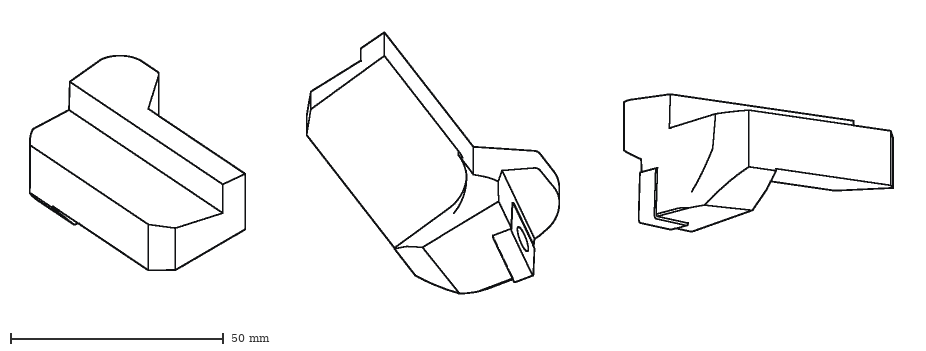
import cadquery as cq
import math


length = 61.0
width = 37.6
height = 30.5
shank_width = 25.9
end_chamfer = 4.5
head_left = 2.45
head_corner_radius = 6.85
head_back_end = 15.6
head_back_radius = 1.8
diagonal_end = 25.45
front_corner_start = 13.05
front_corner_middle = (6.95, 6.15)
front_corner_end = (2.7, 15.25)
blank_left = 0.0
blank_step = 26.85

ledge_width = 19.0
ledge_front_height = 25.0
ledge_angle = 8.0

shank_bottom = 11.95
bottom_angle = 6.0
bottom_corner_radius = 10.0
head_right = 21.4
wall_lean = 13.0
wall_lean_height = 7.3
bevel_top = 11.45
bevel_angle = 49.0

nose_point = cq.Vector(-0.135, 24.75, 0)
yaw = 12.0
tilt = 6.0
nose_angle = 80.0
inscribed_circle = 12.7
insert_thickness = 4.75
insert_corner_radius = 0.8
pin_diameter = 6.1

rake_recess = 0.1
insert_overhang = 0.7
seat_chamfer = 0.5
overhang_height = 15.8
overhang_angle = 25.0
side_yaw = 11.7
side_lean = 2.0

REACH = 122.0


def sin(angle):
    return math.sin(math.radians(angle))


def cos(angle):
    return math.cos(math.radians(angle))


def tan(angle):
    return math.tan(math.radians(angle))


along_edge = cq.Vector(cos(yaw), sin(yaw), 0)
into_head = cq.Vector(sin(yaw) * cos(tilt), -cos(yaw) * cos(tilt), sin(tilt))
insert_plane = cq.Plane(nose_point, along_edge, into_head)
insert_side = inscribed_circle / sin(nose_angle)


def make_blank():
    center_x = head_left + head_corner_radius
    center_y = width - head_corner_radius
    corner_middle = (center_x - head_corner_radius * cos(45), center_y + head_corner_radius * sin(45))
    blank = (
        cq.Workplane("XY")
        .moveTo(length, end_chamfer)
        .lineTo(length - end_chamfer, 0)
        .lineTo(front_corner_start, 0)
        .threePointArc(front_corner_middle, front_corner_end)
        .lineTo(blank_left, blank_step)
        .lineTo(head_left, blank_step)
        .lineTo(head_left, center_y)
        .threePointArc(corner_middle, (center_x, width))
        .lineTo(head_back_end, width)
        .lineTo(diagonal_end, shank_width)
        .lineTo(length, shank_width)
        .close()
        .extrude(height)
    )
    back_edge = cq.selectors.NearestToPointSelector((head_back_end, width, height / 2))
    return blank.edges("|Z").edges(back_edge).fillet(head_back_radius)


def ledge_cutter():
    ledge_back_height = ledge_front_height - ledge_width * tan(ledge_angle)
    return (
        cq.Workplane("YZ")
        .moveTo(0, ledge_front_height)
        .lineTo(ledge_width, ledge_back_height)
        .lineTo(ledge_width, height)
        .lineTo(0, height)
        .close()
        .extrude(REACH)
    )


def left_side_cutter():
    """Space left of both planes of the left side: the upper one, and the one along the insert."""
    side_normal = cq.Vector(-cos(side_yaw), -sin(side_yaw), tan(side_lean))
    side_top = (head_left, width - head_corner_radius, height)
    upper = cq.Workplane(cq.Plane(side_top, (0, 0, 1), side_normal)).rect(REACH, REACH).extrude(REACH)
    edge_x = insert_overhang / sin(nose_angle)
    edge_shift = REACH / tan(nose_angle)
    lower = (
        cq.Workplane(insert_plane)
        .moveTo(edge_x - edge_shift, -REACH)
        .lineTo(edge_x + edge_shift, REACH)
        .lineTo(-REACH, REACH)
        .lineTo(-REACH, -REACH)
        .close()
        .extrude(REACH, both=True)
    )
    return upper.intersect(lower)


def head_back_cutter():
    """Space behind the leaning back of the head and below the overhang."""
    corner = nose_point - into_head * rake_recess
    section = cq.Plane(corner, cq.Vector(-sin(yaw), cos(yaw), 0), along_edge)
    back_top = overhang_height * tan(tilt)
    return (
        cq.Workplane(section)
        .moveTo(-REACH * tan(tilt), -REACH)
        .lineTo(back_top, overhang_height)
        .lineTo(back_top + REACH, overhang_height + REACH * tan(overhang_angle))
        .lineTo(back_top + REACH, -REACH)
        .close()
        .extrude(REACH, both=True)
    )


def head_bottom_cutter():
    return (
        cq.Workplane(insert_plane)
        .center(0, insert_overhang - REACH / 2)
        .rect(REACH, REACH)
        .extrude(REACH, both=True)
    )


def seat_corner_cutter():
    """Chamfer between the lower left side and the bottom of the head."""
    corner_x = insert_overhang / sin(nose_angle) + insert_overhang / tan(nose_angle)
    up_x = corner_x + seat_chamfer * cos(nose_angle)
    up_y = insert_overhang + seat_chamfer * sin(nose_angle)
    return (
        cq.Workplane(insert_plane)
        .moveTo(corner_x + seat_chamfer, insert_overhang)
        .lineTo(up_x, up_y)
        .lineTo(corner_x - seat_chamfer, insert_overhang)
        .close()
        .extrude(REACH, both=True)
    )


def front_bevel_cutter():
    return (
        cq.Workplane("YZ")
        .moveTo(0, bevel_top)
        .lineTo(bevel_top / tan(bevel_angle), 0)
        .lineTo(0, 0)
        .close()
        .extrude(head_right)
    )


def shank_underside_cutter():
    """Space below the sloped shank, with a rounded upright corner beside the head."""
    back_height = shank_bottom + shank_width * tan(bottom_angle)
    space = (
        cq.Workplane("YZ", origin=(head_right, 0, 0))
        .moveTo(0, 0)
        .lineTo(0, shank_bottom)
        .lineTo(shank_width, back_height)
        .lineTo(shank_width, 0)
        .close()
        .extrude(REACH)
    )
    return space.edges("|Z").edges("<X").edges(">Y").fillet(bottom_corner_radius)


def leaning_wall_cutter():
    """Space right of the leaning wall, which blends into the level of the shank bottom."""
    foot = head_right - wall_lean_height * tan(wall_lean)
    top = foot + shank_bottom * tan(wall_lean)
    round_length = (shank_bottom - wall_lean_height) / cos(wall_lean)
    round_radius = round_length / tan((90 - wall_lean) / 2)
    space = (
        cq.Workplane("XZ")
        .moveTo(foot, 0)
        .lineTo(top, shank_bottom)
        .lineTo(REACH, shank_bottom)
        .lineTo(REACH, 0)
        .close()
        .extrude(-width)
    )
    return space.edges("|Y").edges(">Z").edges("<X").fillet(round_radius)


def insert_blank(extra=0):
    """Rhombic plate without its hole, longer by extra on the rake side."""
    far_x = insert_side * cos(nose_angle)
    plate = (
        cq.Workplane(insert_plane)
        .workplane(offset=-extra)
        .moveTo(0, 0)
        .lineTo(insert_side, 0)
        .lineTo(insert_side + far_x, inscribed_circle)
        .lineTo(far_x, inscribed_circle)
        .close()
        .extrude(insert_thickness + extra)
    )
    return plate.edges(cq.selectors.ParallelDirSelector(into_head)).fillet(insert_corner_radius)


def make_pin():
    return (
        cq.Workplane(insert_plane)
        .center(insert_side * (1 + cos(nose_angle)) / 2, inscribed_circle / 2)
        .circle(pin_diameter / 2)
        .extrude(insert_thickness)
    )


def make_insert():
    return insert_blank().cut(make_pin())


def make_holder():
    seat = insert_blank(extra=insert_thickness)
    return (
        make_blank()
        .cut(ledge_cutter())
        .cut(left_side_cutter())
        .cut(head_back_cutter())
        .cut(head_bottom_cutter())
        .cut(seat_corner_cutter())
        .cut(front_bevel_cutter())
        .cut(shank_underside_cutter())
        .cut(leaning_wall_cutter())
        .cut(seat)
        .union(make_pin())
    )


holder = make_holder()
insert = make_insert()

result = cq.Compound.makeCompound([*holder.vals(), *insert.vals()])